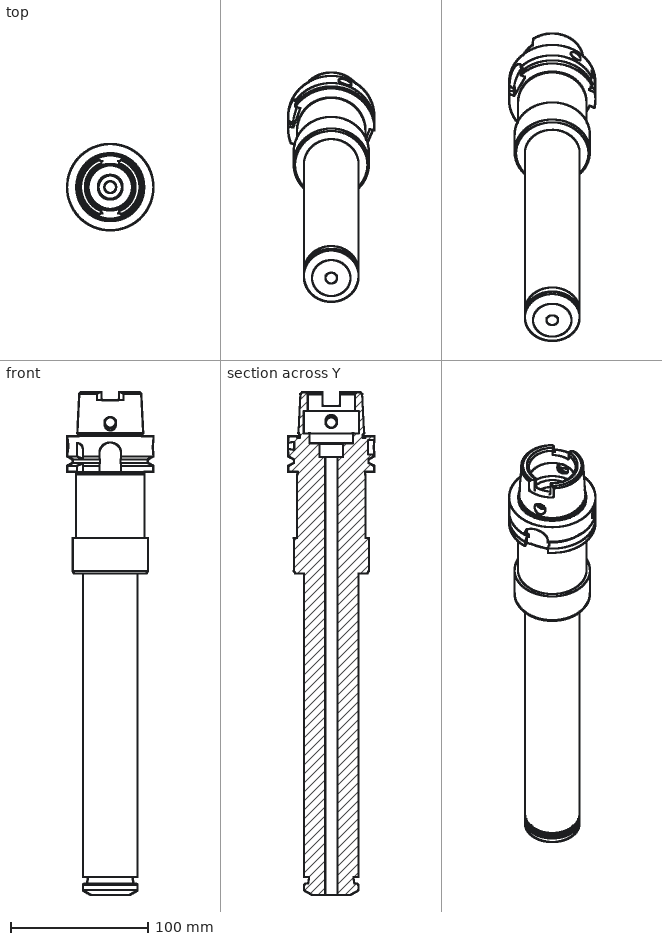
import cadquery as cq
import math


shank_length = 32.0
gauge_diameter = 48.38
taper_ratio = 1 / 9.98
rim_chamfer_height = 1.2
rim_chamfer_width = 1.3
relief_diameter = 46.0
relief_height = 2.2
relief_ramp = 1.2
relief_groove_diameter = 49.6
relief_groove_depth = 1.0

flange_diameter = 63.0
flange_thickness = 26.0
groove_center_z = -18.13
groove_diameter = 55.0
groove_width = 7.0
groove_side_angle = 30.0

neck_diameter = 49.2
neck_height = 1.0
neck_ramp = 1.0
body_diameter = 50.0
collar_diameter = 55.0
collar_top_z = -74.0
collar_bottom_z = -100.0
collar_chamfer_height = 2.0
collar_chamfer_width = 1.2
tube_diameter = 40.0
tube_end_z = -321.0

nut_diameter = 40.0
nut_neck_top_diameter = 32.5
nut_neck_bottom_diameter = 34.0
nut_top_z = -325.5
nut_bottom_z = -334.0
nut_edge_chamfer = 1.1
nut_cone_top_z = -331.4
nut_face_diameter = 28.0

bore_diameter = 34.0
bore_depth = 13.8
bore_chamfer = 1.5
chamber_diameter = 31.6
chamber_floor_z = -5.0
undercut_diameter = 40.0
undercut_bottom_z = 2.0
thread_core_diameter = 16.92
thread_depth = 10.0
thread_chamfer = 0.6
through_diameter = 8.4

drive_slot_width = 12.54
drive_slot_flare_width = 19.4
drive_slot_flare_start = 18.8
drive_slot_flare_end = 20.4
drive_slot_fillet = 0.8
drive_slot_depths = {1: 10.0, -1: 5.8}

access_hole_diameter = 8.4
access_hole_tilt = 25.0
access_hole_z = 9.0

grip_slot_floor = 26.5
grip_slot_top_z = -4.6
grip_slot_widths = {1: 18.0, -1: 16.0}

notch_floor = 20.0
notch_center_x = -24.2
notch_width = 8.4
notch_top_z = -5.0

screw_hole_diameter = 8.5
screw_hole_angle = 186.8
screw_hole_z = -7.0
carrier_hole_diameter = 10.0
carrier_hole_angle = 0.0
carrier_hole_z = -8.0
flange_hole_depth = 4.6


def shank_radius(z):
    return (gauge_diameter - taper_ratio * z) / 2


def revolve_about_axis(points):
    return cq.Workplane("XZ").polyline(points).close().revolve(360, (0, 0, 0), (0, 1, 0))


def outer_body():
    chamfer_z = shank_length - rim_chamfer_height
    flange_radius = flange_diameter / 2
    groove_radius = groove_diameter / 2
    groove_half = groove_width / 2
    groove_side_run = (flange_radius - groove_radius) * math.tan(math.radians(groove_side_angle))
    groove_bottom_half = groove_half - groove_side_run
    nut_radius = nut_diameter / 2
    points = [
        (0, shank_length),
        (shank_radius(shank_length) - rim_chamfer_width, shank_length),
        (shank_radius(chamfer_z), chamfer_z),
        (shank_radius(relief_height), relief_height),
        (relief_diameter / 2, relief_height - relief_ramp),
        (relief_diameter / 2, -relief_groove_depth),
        (relief_groove_diameter / 2, -relief_groove_depth),
        (relief_groove_diameter / 2, 0),
        (flange_radius, 0),
        (flange_radius, groove_center_z + groove_half),
        (groove_radius, groove_center_z + groove_bottom_half),
        (groove_radius, groove_center_z - groove_bottom_half),
        (flange_radius, groove_center_z - groove_half),
        (flange_radius, -flange_thickness),
        (neck_diameter / 2, -flange_thickness),
        (neck_diameter / 2, -flange_thickness - neck_height),
        (body_diameter / 2, -flange_thickness - neck_height - neck_ramp),
        (body_diameter / 2, collar_top_z),
        (collar_diameter / 2, collar_top_z),
        (collar_diameter / 2, collar_bottom_z + collar_chamfer_height),
        (collar_diameter / 2 - collar_chamfer_width, collar_bottom_z),
        (tube_diameter / 2, collar_bottom_z),
        (tube_diameter / 2, tube_end_z),
        (nut_neck_top_diameter / 2, tube_end_z),
        (nut_neck_bottom_diameter / 2, nut_top_z),
        (nut_radius - nut_edge_chamfer, nut_top_z),
        (nut_radius, nut_top_z - nut_edge_chamfer),
        (nut_radius, nut_cone_top_z + nut_edge_chamfer),
        (nut_radius - nut_edge_chamfer, nut_cone_top_z),
        (nut_face_diameter / 2, nut_bottom_z),
        (0, nut_bottom_z),
    ]
    return revolve_about_axis(points)


def stepped_bore():
    bore_radius = bore_diameter / 2
    undercut_radius = undercut_diameter / 2
    chamber_radius = chamber_diameter / 2
    thread_radius = thread_core_diameter / 2
    through_radius = through_diameter / 2
    undercut_top_z = shank_length - bore_depth
    points = [
        (0, shank_length),
        (bore_radius + bore_chamfer, shank_length),
        (bore_radius, shank_length - bore_chamfer),
        (bore_radius, undercut_top_z),
        (undercut_radius, undercut_top_z),
        (undercut_radius, undercut_bottom_z),
        (chamber_radius, undercut_bottom_z),
        (chamber_radius, chamber_floor_z),
        (thread_radius + thread_chamfer, chamber_floor_z),
        (thread_radius, chamber_floor_z - thread_chamfer),
        (thread_radius, chamber_floor_z - thread_depth),
        (through_radius, chamber_floor_z - thread_depth),
        (through_radius, nut_bottom_z),
        (0, nut_bottom_z),
    ]
    return revolve_about_axis(points)


def drive_slot(side):
    depth = drive_slot_depths[side]
    half = drive_slot_width / 2
    flare_half = drive_slot_flare_width / 2
    outside = gauge_diameter
    points = [
        (-half, 0),
        (-half, side * drive_slot_flare_start),
        (-flare_half, side * drive_slot_flare_end),
        (-flare_half, side * outside),
        (flare_half, side * outside),
        (flare_half, side * drive_slot_flare_end),
        (half, side * drive_slot_flare_start),
        (half, 0),
    ]
    slot = cq.Workplane("XY").workplane(offset=shank_length - depth).polyline(points).close().extrude(depth)
    return slot.faces("<Z").edges().fillet(drive_slot_fillet)


def access_hole(side):
    mouth_radius = shank_radius(access_hole_z)
    tilt = math.radians(access_hole_tilt)
    inward = cq.Vector(0, -side * math.cos(tilt), math.sin(tilt))
    mouth = cq.Vector(0, side * mouth_radius, access_hole_z)
    reach = mouth_radius / 2
    hole = cq.Solid.makeCylinder(access_hole_diameter / 2, 2 * reach, mouth - inward * reach, inward)
    return cq.Workplane(hole)


def round_top_slot(center_x, floor_distance, width, top_z):
    """Slot open at the flange underside with a half-round top, cut along Y from -Y down to a flat floor."""
    radius = width / 2
    center_z = top_z - radius
    return (
        cq.Workplane("XZ", origin=(center_x, -floor_distance, 0))
        .moveTo(-radius, -flange_thickness)
        .lineTo(-radius, center_z)
        .threePointArc((0, top_z), (radius, center_z))
        .lineTo(radius, -flange_thickness)
        .close()
        .extrude(flange_diameter / 2)
    )


def grip_slot(side):
    slot = round_top_slot(0, grip_slot_floor, grip_slot_widths[side], grip_slot_top_z)
    return slot if side < 0 else slot.mirror("XZ")


def orientation_notch():
    return round_top_slot(notch_center_x, notch_floor, notch_width, notch_top_z)


def flange_hole(diameter, angle, z):
    hole = (
        cq.Workplane("YZ", origin=(flange_diameter / 2 - flange_hole_depth, 0, z))
        .circle(diameter / 2).extrude(flange_diameter / 2)
    )
    return hole.rotate((0, 0, 0), (0, 0, 1), angle)


result = outer_body().cut(stepped_bore())
for side in (1, -1):
    result = result.cut(drive_slot(side)).cut(access_hole(side)).cut(grip_slot(side))
result = result.cut(orientation_notch())
result = result.cut(flange_hole(screw_hole_diameter, screw_hole_angle, screw_hole_z))
result = result.cut(flange_hole(carrier_hole_diameter, carrier_hole_angle, carrier_hole_z))